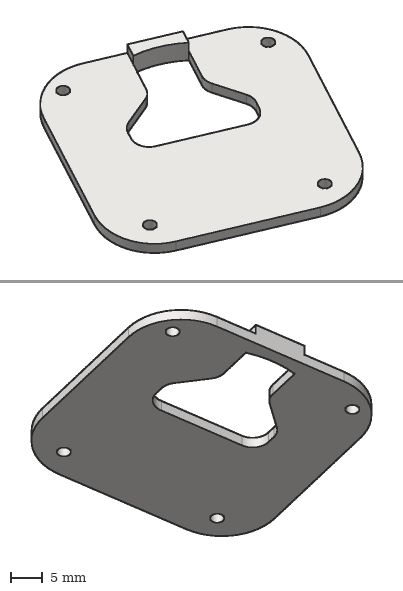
import cadquery as cq

side = 44.0
half_side = side / 2
plate_thickness = 2.0
corner_radius = 10.0

bay_half_width = 10.65
neck_half_width = 4.6
bay_end_x = 0.0
taper_start_x = -5.75
taper_end_x = taper_start_x - (bay_half_width - neck_half_width)
window_fillet = 3.0

total_height = 3.8
tab_middle_x = -19.8
tab_end_x = -19.2

hole_diameter = 2.2
hole_x = 17.05
left_hole_y = 17.05
right_hole_y = 14.5


def make_plate():
    plate = cq.Workplane("XY").rect(side, side).extrude(plate_thickness)
    return plate.edges("|Z").fillet(corner_radius)


def make_window():
    """Cutter for the window, with its neck open through the plate edge."""
    outline = [
        (-half_side, -neck_half_width),
        (taper_end_x, -neck_half_width),
        (taper_start_x, -bay_half_width),
        (bay_end_x, -bay_half_width),
        (bay_end_x, bay_half_width),
        (taper_start_x, bay_half_width),
        (taper_end_x, neck_half_width),
        (-half_side, neck_half_width),
    ]
    window = cq.Workplane("XY").polyline(outline).close().extrude(plate_thickness)
    return window.edges("|Z and (not <X)").fillet(window_fillet)


def make_tab():
    return (
        cq.Workplane("XY")
        .moveTo(-half_side, -neck_half_width)
        .lineTo(tab_end_x, -neck_half_width)
        .threePointArc((tab_middle_x, 0), (tab_end_x, neck_half_width))
        .lineTo(-half_side, neck_half_width)
        .close()
        .extrude(total_height)
    )


def make_holes():
    centers = [
        (x, sign * y)
        for x, y in ((-hole_x, left_hole_y), (hole_x, right_hole_y))
        for sign in (-1, 1)
    ]
    return cq.Workplane("XY").pushPoints(centers).circle(hole_diameter / 2).extrude(plate_thickness)


result = make_plate().cut(make_window()).union(make_tab()).cut(make_holes())